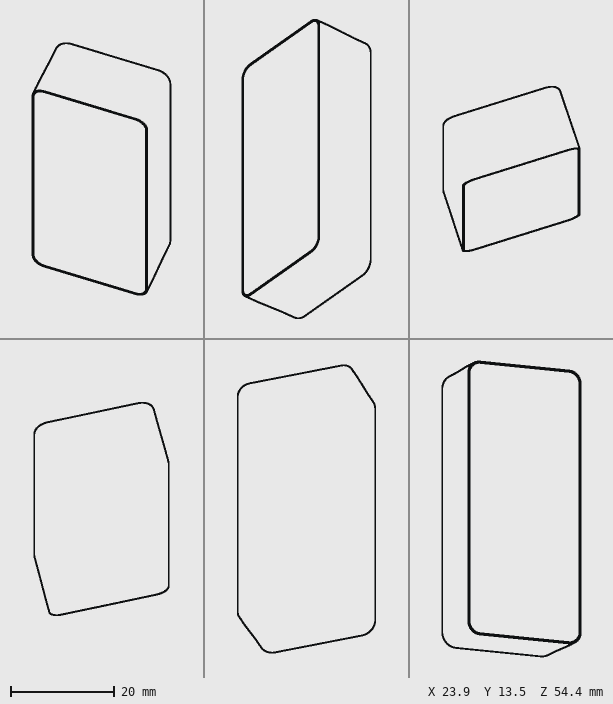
import cadquery as cq

width = 23.9
depth = 13.5
height = 54.4
wall = 0.3

floor_corner_radius = 3.0
mouth_corner_radius = 2.5
floor_band = 4.2
mouth_band = 3.2

floor_edge_radius = 1.3

floor_y = depth / 2
mouth_y = -depth / 2
taper_floor_y = floor_y - floor_band
taper_mouth_y = mouth_y + mouth_band


def section(inset, corner_radius):
    """Rounded rectangle of the tray outline, moved inward by inset."""
    outline = cq.Sketch().rect(width - 2 * inset, height - 2 * inset)
    return outline.vertices().fillet(corner_radius - inset)


def plane_at(y):
    """Workplane at the given Y, facing the floor side (+Y)."""
    return cq.Workplane(cq.Plane(origin=(0, y, 0), xDir=(-1, 0, 0), normal=(0, 1, 0)))


def straight_band(start_y, end_y, inset, corner_radius):
    """Prism of constant section from start_y to end_y."""
    return plane_at(start_y).placeSketch(section(inset, corner_radius)).extrude(end_y - start_y)


def taper_band(inset):
    """Band whose corner radius changes evenly from the mouth to the floor value."""
    to_floor_end = cq.Location(cq.Vector(0, 0, taper_floor_y - taper_mouth_y))
    mouth_end = section(inset, mouth_corner_radius)
    floor_end = section(inset, floor_corner_radius).moved(to_floor_end)
    return plane_at(taper_mouth_y).placeSketch(mouth_end, floor_end).loft(ruled=True)


def tray_block(inset):
    """Solid block bounded by the outer tray surface moved inward by inset."""
    mouth_block = straight_band(mouth_y, taper_mouth_y, inset, mouth_corner_radius)
    floor_block = straight_band(taper_floor_y, floor_y - inset, inset, floor_corner_radius)
    floor_block = floor_block.faces(">Y").edges().fillet(floor_edge_radius - inset)
    return mouth_block.union(taper_band(inset)).union(floor_block).clean()


result = tray_block(0).cut(tray_block(wall))